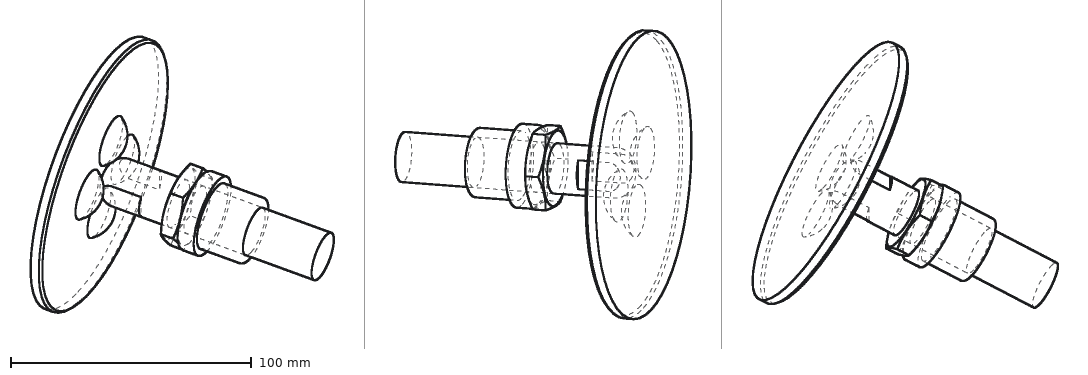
import cadquery as cq
import math

plate_diameter = 120.0
plate_thickness = 4.9
plate_chamfer = 1.1

dome_count = 4
dome_height = 6.1
dome_base_radius = 11.0
dome_circle_radius = 17.6
dome_start_angle = 71.5

stem_diameter = 21.0
stem_end = 105.7
stem_tip_fillet = 7.4
flat_spacing = 17.0
flat_end = 25.8

nut_start = 38.7
nut_thickness = 7.9
nut_across_flats = 32.1
nut_face_diameter = 31.4
nut_corner_chamfer = 1.1

flange_diameter = 35.0
flange_thickness = 7.9
barrel_diameter = 29.0
barrel_length = 19.3
sleeve_fillet = 1.2

nut_end = nut_start + nut_thickness
sleeve_end = nut_end + flange_thickness + barrel_length


def cylinder_x(start, end, diameter):
    """Solid cylinder on the X axis between two X positions."""
    return cq.Workplane("YZ", origin=(start, 0, 0)).circle(diameter / 2).extrude(end - start)


def make_dome(angle):
    """Spherical cap on the plate, turned about the X axis to the given angle."""
    sphere_radius = (dome_base_radius**2 + dome_height**2) / (2 * dome_height)
    half_arc = math.asin(dome_base_radius / sphere_radius) / 2
    arc_middle = (dome_height - sphere_radius * (1 - math.cos(half_arc)), sphere_radius * math.sin(half_arc))
    dome = (
        cq.Workplane("XY", origin=(plate_thickness, dome_circle_radius, 0))
        .lineTo(dome_height, 0)
        .threePointArc(arc_middle, (0, dome_base_radius))
        .close()
        .revolve(360, (0, 0, 0), (1, 0, 0))
    )
    return dome.rotate((0, 0, 0), (1, 0, 0), angle)


def make_plate():
    """Round plate with a chamfered inner rim and a ring of domes."""
    plate = cylinder_x(0, plate_thickness, plate_diameter).faces(">X").edges().chamfer(plate_chamfer)
    for index in range(dome_count):
        plate = plate.union(make_dome(dome_start_angle + index * 360 / dome_count))
    return plate


def make_stem(plate):
    """Stem with a rounded tip against the plate and two wrench flats."""
    stem = cylinder_x(plate_thickness, stem_end, stem_diameter)
    stem = stem.faces("<X").edges().fillet(stem_tip_fillet)
    flatted_zone = cq.Workplane("XY").box(flat_end, flat_spacing, stem_diameter, centered=(False, True, True))
    round_zone = cylinder_x(flat_end, stem_end, stem_diameter)
    stem = stem.intersect(flatted_zone.union(round_zone))
    return stem.cut(plate)


def make_nut():
    """Hexagon nut with corners on the Y axis and conical chamfers on both faces."""
    corner_radius = nut_across_flats / math.sqrt(3)
    face_radius = nut_face_diameter / 2
    hexagon = cq.Workplane("YZ", origin=(nut_start, 0, 0)).polygon(6, 2 * corner_radius).extrude(nut_thickness)
    chamfered_blank = (
        cq.Workplane("XY")
        .moveTo(nut_start, 0)
        .lineTo(nut_start, face_radius)
        .lineTo(nut_start + nut_corner_chamfer, corner_radius)
        .lineTo(nut_end - nut_corner_chamfer, corner_radius)
        .lineTo(nut_end, face_radius)
        .lineTo(nut_end, 0)
        .close()
        .revolve(360, (0, 0, 0), (1, 0, 0))
    )
    bore = cylinder_x(nut_start, nut_end, stem_diameter)
    return hexagon.intersect(chamfered_blank).cut(bore)


def make_sleeve():
    """Flanged sleeve with both outer end edges rounded."""
    flange = cylinder_x(nut_end, nut_end + flange_thickness, flange_diameter)
    barrel = cylinder_x(nut_end, sleeve_end, barrel_diameter)
    sleeve = flange.union(barrel)
    sleeve = sleeve.faces("<X or >X").edges().fillet(sleeve_fillet)
    return sleeve.cut(cylinder_x(nut_end, sleeve_end, stem_diameter))


plate = make_plate()
stem = make_stem(plate)
nut = make_nut()
sleeve = make_sleeve()

result = cq.Compound.makeCompound([body.solids().val() for body in (plate, stem, nut, sleeve)])